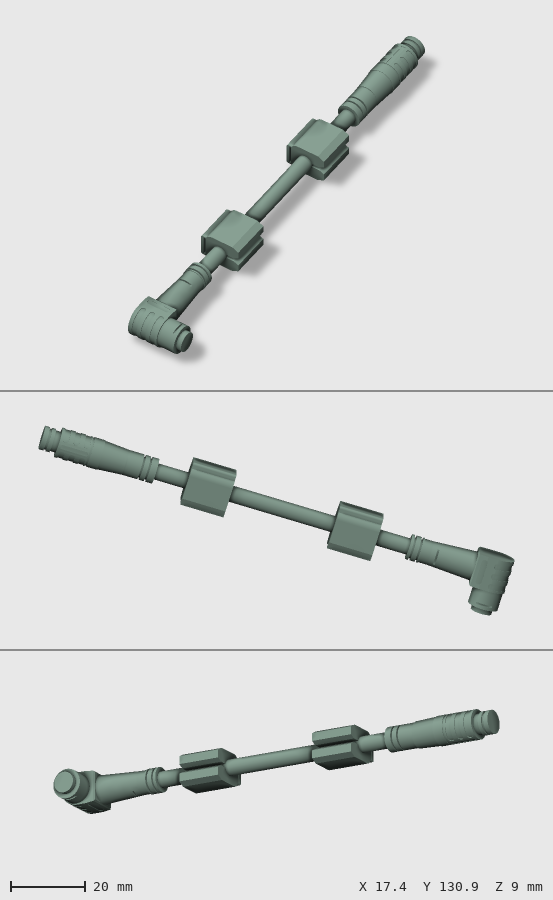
import cadquery as cq

overall_length = 130.9
y_end = overall_length / 2
cable_dia = 4.5

nose_dia = 6.5
nose_length = 3.0
nose_groove_start = 1.3
nose_groove_end = 2.0
neck_dia = 5.8
nut_dia = 8.2
nut_start = 4.6
nut_end = 16.5
nut_groove_start = 5.4
nut_end_groove_start = 13.1
nut_end_groove_width = 0.5
plug_body_dia = 8.0
plug_body_end = 27.6
plug_length = 31.8
taper_end = 23.3
taper_end_height = 7.5
nut_slot_width = 1.2
nut_slot_length = 7.5

grip_count = 3
grip_width = 1.6
grip_pitch = 2.9
grip_depth = 0.2
grip_gap = 2.7

ring_dia = 7.0
ring_groove_dia = 5.8
ring_groove_width = 0.5
ring_pitch = 1.8

notch_length = 4.5
notch_width = 0.5
notch_depth = 0.7

elbow_start = -37.2
elbow_ring_groove = -38.0
ring_end = -40.7
elbow_neck_dia = 6.5
elbow_taper_start = -43.2
elbow_notch_start = -44.6
head_start = -55.4
head_chamfer = 0.4
head_dia = 9.0
head_shoulder_height = 8.4
head_shoulder_end = -58.1
head_half_width = 4.6
head_grip_start = -3.4
head_grip_limit = -60.3
head_slot_y = -57.6
head_slot_length = 7.1
head_slot_depth = 0.2
socket_dia = 8.2
socket_end = 9.8
socket_notch_x = 8.4
tip_dia = 5.8
tip_end = 11.4
head_axis_y = -y_end + head_dia / 2

clip_size = 12.0
clip_height = 9.0
clip_centers = (18.8, -22.3)
clip_wall_x = -4.6
clip_fillet = 2.1
lip_flat_end = 4.0
lip_top = 3.5
mouth_half_height = 1.3
throat_x = 4.5
throat_half_height = 0.5
label_plate_thickness = 0.8
label_plate_height = 6.8
label_arm_thickness = 0.4
label_corner_radius = 0.7


def tube_y(outer_dia, inner_dia, y_low, length):
    """Ring about the Y axis; an inner diameter of zero gives a full cylinder."""
    plane = cq.Workplane("XZ", origin=(0, y_low + length, 0)).circle(outer_dia / 2)
    if inner_dia > 0:
        plane = plane.circle(inner_dia / 2)
    return plane.extrude(length)


def revolve_about_y(outline):
    """Solid of revolution from (radius, y) points that start and end on the axis."""
    return cq.Workplane("XY").polyline(outline).close().revolve(360, (0, 0, 0), (0, 1, 0))


def mirrored_pair(tool):
    """The tool together with its mirror image below the XY plane."""
    return tool.union(tool.mirror("XY"))


def notch_pair(length_x, length_y, center_x, center_y, floor_z):
    """Cutters for one notch above and one below the cable plane."""
    floor = cq.Workplane("XY", origin=(center_x, center_y, floor_z))
    cutter = floor.rect(length_x, length_y).extrude(head_dia)
    return mirrored_pair(cutter)


def upright_pin(diameter, x, y):
    """Cutter with a vertical axis, long enough to pass through the part."""
    return cq.Workplane("XY", origin=(x, y, -head_dia)).circle(diameter / 2).extrude(2 * head_dia)


def make_straight_plug():
    outline = [
        (0, y_end),
        (nose_dia / 2, y_end),
        (nose_dia / 2, y_end - nose_length),
        (neck_dia / 2, y_end - nose_length),
        (neck_dia / 2, y_end - nut_start),
        (nut_dia / 2, y_end - nut_start),
        (nut_dia / 2, y_end - nut_end),
        (plug_body_dia / 2, y_end - nut_end),
        (ring_dia / 2, y_end - taper_end),
        (ring_dia / 2, y_end - plug_length),
        (0, y_end - plug_length),
    ]
    plug = revolve_about_y(outline)

    nose_groove_width = nose_groove_end - nose_groove_start
    plug = plug.cut(tube_y(head_dia, neck_dia, y_end - nose_groove_end, nose_groove_width))

    grip_floor_dia = nut_dia - 2 * grip_depth
    groove_end_x = (grip_gap + grip_width) / 2
    for index in range(grip_count):
        y_low = y_end - nut_groove_start - grip_width - index * grip_pitch
        y_mid = y_low + grip_width / 2
        strip_center = cq.Workplane("XY", origin=(0, y_mid, 0))
        plain_strip = strip_center.box(2 * groove_end_x, grip_width, 2 * head_dia)
        for end_x in (-groove_end_x, groove_end_x):
            plain_strip = plain_strip.cut(upright_pin(grip_width, end_x, y_mid))
        groove = tube_y(head_dia, grip_floor_dia, y_low, grip_width)
        plug = plug.cut(groove.cut(plain_strip))
    y_low = y_end - nut_end_groove_start - nut_end_groove_width
    plug = plug.cut(tube_y(head_dia, grip_floor_dia, y_low, nut_end_groove_width))

    slot_center = y_end - nut_groove_start - nut_slot_length / 2
    plug = plug.cut(notch_pair(nut_slot_width, nut_slot_length, 0, slot_center, grip_floor_dia / 2))

    for groove_start in (plug_body_end, plug_body_end + ring_pitch):
        y_low = y_end - groove_start - ring_groove_width
        plug = plug.cut(tube_y(head_dia, ring_groove_dia, y_low, ring_groove_width))

    oval_taper = (
        cq.Workplane("XZ", origin=(0, y_end - nut_end, 0))
        .ellipse(plug_body_dia / 2, plug_body_dia / 2, rotation_angle=90)
        .workplane(offset=taper_end - nut_end)
        .ellipse(taper_end_height / 2, ring_dia / 2, rotation_angle=90)
        .loft(ruled=True)
    )
    return plug.union(oval_taper)


def make_elbow_sleeve():
    outline = [
        (0, elbow_start),
        (ring_dia / 2, elbow_start),
        (ring_dia / 2, ring_end),
        (elbow_neck_dia / 2, ring_end),
        (elbow_neck_dia / 2, elbow_taper_start),
        (plug_body_dia / 2, head_start),
        (0, head_start),
    ]
    sleeve = revolve_about_y(outline)
    for groove_start in (elbow_ring_groove, elbow_ring_groove - ring_pitch):
        groove = tube_y(head_dia, ring_groove_dia, groove_start - ring_groove_width, ring_groove_width)
        sleeve = sleeve.cut(groove)
    notch_center = elbow_notch_start - notch_width / 2
    floor_z = elbow_neck_dia / 2 - notch_depth
    return sleeve.cut(notch_pair(notch_length, notch_width, 0, notch_center, floor_z))


def make_elbow_head():
    radius = head_dia / 2
    shoulder = head_shoulder_height / 2
    head = (
        cq.Workplane("YZ", origin=(-head_half_width, 0, 0))
        .moveTo(head_start, -shoulder)
        .lineTo(head_start, shoulder)
        .lineTo(head_shoulder_end, radius)
        .lineTo(head_axis_y, radius)
        .threePointArc((-y_end, 0), (head_axis_y, -radius))
        .lineTo(head_shoulder_end, -radius)
        .close()
        .extrude(2 * head_half_width)
        .faces(">Y")
        .chamfer(head_chamfer)
    )

    groove_end_y = head_grip_limit - grip_width / 2
    core = (
        cq.Workplane("YZ", origin=(-head_half_width, head_axis_y, 0))
        .circle(radius - grip_depth)
        .extrude(2 * head_half_width)
    )
    core = core.union(
        cq.Workplane("XY")
        .box(2 * head_half_width, head_dia, 2 * (radius - grip_depth))
        .translate((0, head_axis_y + radius, 0))
    )
    for index in range(grip_count):
        x_mid = head_grip_start + grip_width / 2 + index * grip_pitch
        groove = (
            cq.Workplane("XY")
            .box(grip_width, head_dia, 2 * head_dia)
            .translate((x_mid, groove_end_y - radius, 0))
            .union(upright_pin(grip_width, x_mid, groove_end_y))
        )
        head = head.cut(groove.cut(core))

    slot = (
        cq.Workplane("XY", origin=(0, head_slot_y, radius - head_slot_depth))
        .slot2D(head_slot_length, grip_width)
        .extrude(radius)
    )
    return head.cut(mirrored_pair(slot))


def make_elbow_socket():
    socket = cq.Workplane("YZ", origin=(0, head_axis_y, 0)).circle(socket_dia / 2).extrude(socket_end)
    notch_floor = socket_dia / 2 - notch_depth
    notch_center = socket_notch_x + notch_width / 2
    socket = socket.cut(notch_pair(notch_width, notch_length, notch_center, head_axis_y, notch_floor))
    tip = cq.Workplane("YZ", origin=(0, head_axis_y, 0)).circle(tip_dia / 2).extrude(tip_end)
    return socket.union(tip)


def make_clip(center_y):
    """Snap-on cable clip: open mouth towards +X and a label window towards -X."""
    half = clip_size / 2
    top = clip_height / 2
    plane = cq.Workplane("XZ", origin=(0, center_y + half, 0))
    body = (
        plane.moveTo(clip_wall_x, -top)
        .lineTo(clip_wall_x, top)
        .lineTo(lip_flat_end, top)
        .lineTo(half, lip_top)
        .lineTo(half, mouth_half_height)
        .lineTo(throat_x, throat_half_height)
        .lineTo(0, throat_half_height)
        .lineTo(0, -throat_half_height)
        .lineTo(throat_x, -throat_half_height)
        .lineTo(half, -mouth_half_height)
        .lineTo(half, -lip_top)
        .lineTo(lip_flat_end, -top)
        .close()
        .extrude(clip_size)
        .edges("|Y and <X")
        .fillet(clip_fillet)
    )

    frame_width = half + clip_wall_x + clip_fillet
    frame = (
        plane.center(-half + frame_width / 2, 0)
        .rect(frame_width, label_plate_height)
        .extrude(clip_size)
        .edges("|Y and <X")
        .fillet(label_corner_radius)
    )
    window_width = half + clip_wall_x - label_plate_thickness
    window = (
        plane.center(clip_wall_x - window_width / 2, 0)
        .rect(window_width, label_plate_height - 2 * label_arm_thickness)
        .extrude(clip_size)
    )
    return body.union(frame).cut(window)


cable_top = y_end - plug_length
cable = tube_y(cable_dia, 0, elbow_start, cable_top - elbow_start)

result = make_straight_plug().union(cable).union(make_elbow_sleeve())
result = result.union(make_elbow_head()).union(make_elbow_socket())
for clip_center in clip_centers:
    result = result.union(make_clip(clip_center))